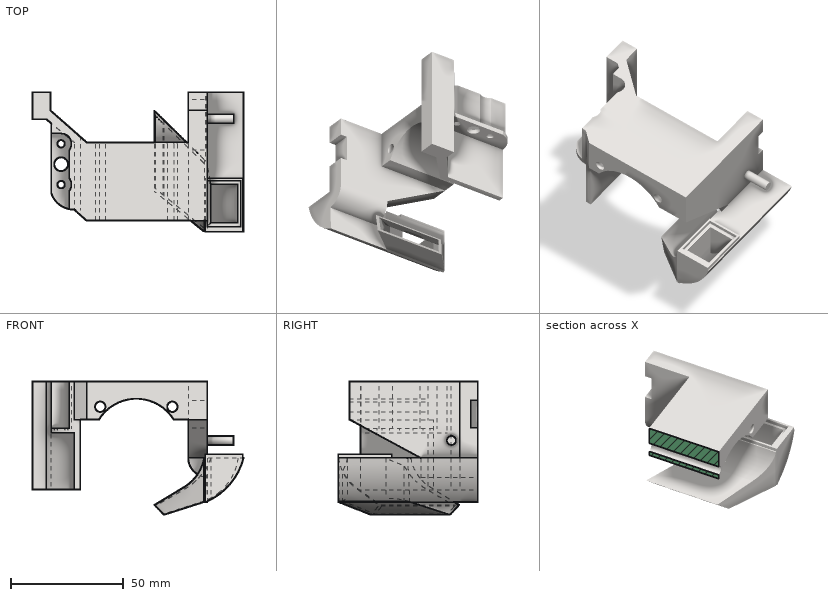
import cadquery as cq
import math


plate_back = -22.2
plate_front = -57.1
plate_depth = 17.0
plate_right = 77.7
plate_corner_x = 24.1
fan_center_x = 46.2
fan_center_z = -27.3
fan_radius = 19.5
fan_screw_pitch = 32.0
fan_screw_diameter = 4.5

post_width = 8.1
post_length = 12.0
post_back_length = 8.1
post_neck_x = 6.2
column_depth = 48.1
wall_left = 18.6
wall_right = 21.3
wall_front = -52.2

ledge_left = 8.35
ledge_top = -20.9
ledge_bottom = -22.9
ledge_corner_radius = 10.8
pocket_wall_x = 16.3
screw_x = 12.8
screw_back_y = -22.9
screw_front_y = -41.0
screw_diameter = 3.2
screw_clearance_radius = 4.6
center_hole_diameter = 6.0

leg_left = 69.2
shelf_z = -34.0
leg_foot_front = -25.4
end_block_length = 8.1
notch_top = -8.4
notch_bottom = -20.65
notch_depth = 3.2
pin_diameter = 4.0
pin_length = 11.7
pin_y = -11.7
pin_z = -26.3

duct_right = 93.85
duct_front = -62.0
duct_bottom = -53.7
duct_belly_x = 89.1
duct_belly_z = -44.1
scoop_front = -61.8
scoop_foot_x = 76.1
inlet_left = 76.8
inlet_right = 93.5
inlet_back = -38.3
rim_top = -32.3
rim_wall = 0.9
recess_front = -59.7
opening_left = 79.2
opening_right = 91.3
opening_back = -40.9
opening_front = -58.0

outlet_top_x = 54.2
outlet_top_z = -54.9
outlet_bottom_x = 58.5
outlet_bottom_z = -59.3
outlet_back = -8.3
outlet_front = -44.0
scoop_back_slope = -0.98
scoop_bend_x = 67.5
scoop_bend_z = -46.9
scoop_mid_x = 73.3
scoop_mid_z = -41.4
scoop_top_x = 76.3
floor_wall = 0.6
side_wall = 1.2

overcut = 0.9


def box(x0, x1, y0, y1, z0, z1):
    """Axis-aligned box between two opposite corners."""
    return cq.Workplane("XY").box(x1 - x0, y1 - y0, z1 - z0, centered=False).translate((x0, y0, z0))


def prism_z(points, z_low, z_high):
    """Plan outline extruded between two heights."""
    return cq.Workplane("XY").workplane(offset=z_low).polyline(points).close().extrude(z_high - z_low)


def rod_z(diameter, x, y, z_low, z_high):
    """Vertical cylinder."""
    return (
        cq.Workplane("XY").workplane(offset=z_low).center(x, y)
        .circle(diameter / 2).extrude(z_high - z_low))


def along_y(sketch, y_front, y_back):
    """Extrude a closed XZ sketch from the origin plane to the given Y range."""
    return sketch.extrude(y_back - y_front).translate((0, y_back, 0))


def make_plate():
    outline = [
        (0, 0), (post_width, 0), (post_width, -post_back_length), (plate_corner_x, plate_back),
        (plate_right, plate_back), (plate_right, plate_front), (plate_corner_x, plate_front),
        (wall_left, wall_front), (wall_left, plate_back), (post_neck_x, -post_length), (0, -post_length),
    ]
    return prism_z(outline, -plate_depth, 0)


def cut_fan_openings(body):
    arch = along_y(
        cq.Workplane("XZ").center(fan_center_x, fan_center_z).circle(fan_radius), plate_front, plate_back)
    screws = along_y(
        cq.Workplane("XZ")
        .center(fan_center_x, fan_center_z + fan_screw_pitch / 2)
        .rarray(fan_screw_pitch, 0.9, 2, 1)
        .circle(fan_screw_diameter / 2),
        plate_front, plate_back)
    return body.cut(arch).cut(screws)


def make_column():
    """Post, slanted web and thin hanging wall below the plate."""
    web_slope = (plate_back + post_back_length) / (plate_corner_x - post_width)
    web_end_y = -post_back_length + web_slope * (wall_right - post_width)
    outline = [
        (0, 0), (post_width, 0), (post_width, -post_back_length), (wall_right, web_end_y),
        (wall_right, wall_front), (wall_left, wall_front), (wall_left, plate_back),
        (post_neck_x, -post_length), (0, -post_length),
    ]
    return prism_z(outline, -column_depth, 0)


def make_ledge_block():
    """Block on the left of the wall, with a rounded front corner; its pocket leaves the ledge."""
    web_slope = (plate_back + post_length) / (wall_left - post_neck_x)
    ledge_back = -post_length + web_slope * (ledge_left - post_neck_x)
    arc_center_y = wall_front + ledge_corner_radius
    arc_drop = math.sqrt(ledge_corner_radius**2 - (wall_left - ledge_left) ** 2)
    half_chord = ledge_corner_radius * math.sqrt(0.5)
    return (
        cq.Workplane("XY").workplane(offset=ledge_bottom)
        .moveTo(ledge_left, ledge_back)
        .lineTo(wall_left, plate_back)
        .lineTo(wall_left, wall_front)
        .threePointArc(
            (wall_left - half_chord, arc_center_y - half_chord), (ledge_left, arc_center_y - arc_drop))
        .close()
        .extrude(-ledge_bottom))


def cut_ledge_pocket(body):
    pocket_left = ledge_left - overcut
    pocket = box(pocket_left, pocket_wall_x, wall_front - overcut, screw_back_y, ledge_top, overcut)
    back_part = box(
        pocket_left, screw_x, screw_back_y, screw_back_y + screw_clearance_radius, ledge_top, overcut)
    pocket = pocket.union(back_part)
    for y in (screw_back_y, screw_front_y):
        pocket = pocket.union(rod_z(2 * screw_clearance_radius, screw_x, y, ledge_top, overcut))
    body = body.cut(pocket)
    center_y = (screw_back_y + screw_front_y) / 2
    holes = (
        (screw_back_y, screw_diameter), (center_y, center_hole_diameter), (screw_front_y, screw_diameter))
    for y, diameter in holes:
        body = body.cut(rod_z(diameter, screw_x, y, ledge_bottom, ledge_top))
    return body


def make_leg():
    """Leg with a sloping underside, and a quarter-round foot below it."""
    leg_width = plate_right - leg_left
    side = [
        (-end_block_length, 0), (plate_front, 0), (plate_front, -plate_depth),
        (leg_foot_front, shelf_z), (-end_block_length, shelf_z),
    ]
    leg = cq.Workplane("YZ").workplane(offset=leg_left).polyline(side).close().extrude(leg_width)
    half_chord = leg_width * math.sqrt(0.5)
    foot = along_y(
        cq.Workplane("XZ")
        .moveTo(leg_left, shelf_z)
        .threePointArc(
            (plate_right - half_chord, shelf_z - half_chord), (plate_right, shelf_z - leg_width))
        .lineTo(plate_right, shelf_z)
        .close(),
        leg_foot_front, 0)
    return leg.union(foot)


def make_pin():
    return (
        cq.Workplane("YZ").workplane(offset=plate_right).center(pin_y, pin_z)
        .circle(pin_diameter / 2).extrude(pin_length))


def make_shelf():
    """Solid base of the duct with the curved outer side, running the full depth."""
    profile = (
        cq.Workplane("XZ")
        .moveTo(plate_right, shelf_z)
        .lineTo(duct_right, shelf_z)
        .threePointArc((duct_belly_x, duct_belly_z), (inlet_left, duct_bottom))
        .close())
    return along_y(profile, duct_front, 0)


def scoop_plan(wall):
    """Plan outline of the scoop, moved inward by the wall thickness on both slanted sides."""
    run = plate_right - outlet_top_x
    front_slope = (scoop_front - outlet_front) / (scoop_foot_x - outlet_top_x)
    back_shift = wall * math.hypot(1, scoop_back_slope)
    front_shift = wall * math.hypot(1, front_slope)
    return [
        (outlet_top_x, outlet_back - back_shift),
        (plate_right, outlet_back - back_shift + scoop_back_slope * run),
        (plate_right, scoop_front + front_shift),
        (scoop_foot_x, scoop_front + front_shift),
        (outlet_top_x, outlet_front + front_shift),
    ]


def make_scoop():
    profile = (
        cq.Workplane("XZ")
        .moveTo(outlet_top_x, outlet_top_z)
        .lineTo(scoop_bend_x, scoop_bend_z)
        .threePointArc((scoop_mid_x, scoop_mid_z), (scoop_top_x, shelf_z))
        .lineTo(plate_right, shelf_z)
        .lineTo(plate_right, duct_bottom)
        .lineTo(scoop_foot_x, duct_bottom)
        .lineTo(outlet_bottom_x, outlet_bottom_z)
        .close())
    return along_y(profile, duct_front, 0).intersect(prism_z(scoop_plan(0), outlet_bottom_z, shelf_z))


def make_inlet_rim():
    """Raised rim around the blower inlet, with the front left part of the duct box below it."""
    rim = box(inlet_left, inlet_right, duct_front, inlet_back, shelf_z, rim_top)
    recess = box(
        plate_right, inlet_right - rim_wall, recess_front, inlet_back - rim_wall, shelf_z, rim_top)
    cheek = box(inlet_left, plate_right, duct_front, inlet_back, duct_bottom, shelf_z)
    return rim.cut(recess).union(cheek)


def make_air_passage():
    """Hollow from the inlet opening down the curved duct and out through the outlet slot."""
    profile = (
        cq.Workplane("XZ")
        .moveTo(outlet_top_x, outlet_top_z - floor_wall)
        .lineTo(scoop_bend_x + floor_wall, scoop_bend_z - floor_wall)
        .threePointArc(
            (scoop_mid_x + side_wall, scoop_mid_z - floor_wall), (opening_left, shelf_z))
        .lineTo(opening_right, shelf_z)
        .threePointArc(
            (duct_belly_x - side_wall, duct_belly_z + floor_wall), (scoop_foot_x, duct_bottom + floor_wall))
        .lineTo(outlet_bottom_x, outlet_bottom_z + floor_wall)
        .lineTo(outlet_top_x, outlet_bottom_z + floor_wall)
        .close())
    outlet_back_corner, joint_back, _, joint_front, outlet_front_corner = scoop_plan(side_wall)
    plan = [
        outlet_back_corner, joint_back, (opening_left, opening_back), (opening_right, opening_back),
        (opening_right, opening_front), (opening_left, opening_front), joint_front, outlet_front_corner,
    ]
    return along_y(profile, duct_front, 0).intersect(prism_z(plan, outlet_bottom_z, shelf_z))


def make_bracket():
    frame = cut_fan_openings(make_plate())
    frame = frame.union(make_column()).union(make_ledge_block())
    frame = cut_ledge_pocket(frame)
    frame = frame.union(make_leg()).union(make_pin())
    duct = make_shelf().union(make_scoop()).union(make_inlet_rim()).cut(make_air_passage())
    return frame.union(duct)


def make_end_block():
    """Upright block on the back of the leg, with a notch across its back face."""
    block = box(leg_left, plate_right, -end_block_length, 0, shelf_z, 0)
    notch = box(leg_left, plate_right, -notch_depth, 0, notch_bottom, notch_top)
    return block.cut(notch)


bracket = make_bracket()
end_block = make_end_block()
result = cq.Compound.makeCompound([bracket.solids().val(), end_block.solids().val()])